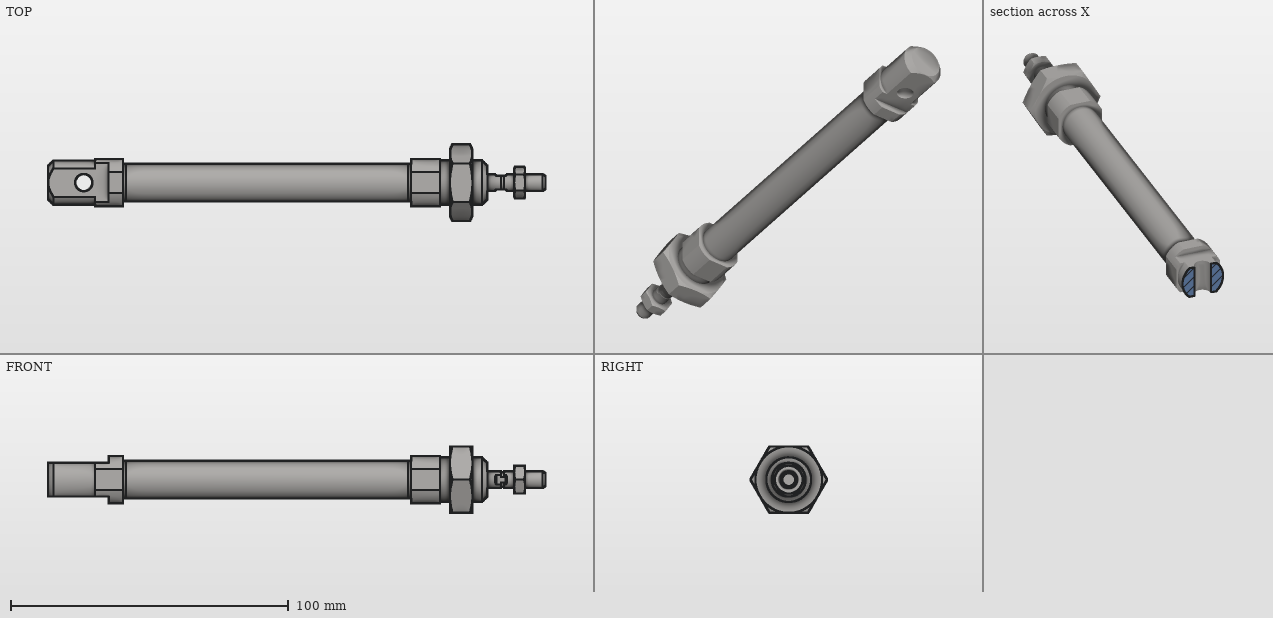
import cadquery as cq
import math


rear_cap_start = 17.0
lug_flat_end = 21.8
rear_cap_end = 27.0
collar_length = 1.0
front_cap_start = 130.7
front_cap_end = 141.0
nose_nut_start = 144.6
nose_end = 158.0
rod_nut_start = 167.7
rod_end = 179.0

lug_diameter = 16.0
lug_thickness = 12.2
lug_chamfer = 2.0
pivot_position = 12.9
pivot_diameter = 6.0
cap_width = 17.0
cap_corner_diameter = 18.6
barrel_diameter = 13.6
nose_diameter = 16.1
nose_chamfer = 2.0

nut_sides = 6
nose_nut_width = 24.0
nose_nut_thickness = 8.0
rod_nut_width = 10.0
rod_nut_thickness = 4.0
nut_chamfer_angle = 25

rod_diameter = 6.0
rod_tip_diameter = 4.7
rod_tip_length = 1.0
groove_start = 162.9
groove_width = 1.3
groove_diameter = 5.4
rod_flat_width = 5.0
rod_flat_start = 161.3
rod_flat_length = 3.4


def cylinder(diameter, start, end):
    """Round bar on the X axis between two stations."""
    return cq.Workplane("YZ", origin=(start, 0, 0)).circle(diameter / 2).extrude(end - start)


def cap_block(start, end):
    """Square cap body with its corners turned round."""
    square = cq.Workplane("YZ", origin=(start, 0, 0)).rect(cap_width, cap_width).extrude(end - start)
    return square.intersect(cylinder(cap_corner_diameter, start, end))


def make_rear_cap():
    """Square cap with a flattened, cross-drilled mounting lug."""
    lug = cylinder(lug_diameter, 0, rear_cap_start).faces("<X").chamfer(lug_chamfer)
    collar = cylinder(barrel_diameter, rear_cap_end, rear_cap_end + collar_length)
    cap = lug.union(cap_block(rear_cap_start, rear_cap_end)).union(collar)

    flat_depth = (cap_width - lug_thickness) / 2
    for side in (-1, 1):
        flat_center = side * (lug_thickness + flat_depth) / 2
        cap = cap.cut(
            cq.Workplane("XY", origin=(lug_flat_end / 2, 0, flat_center))
            .box(lug_flat_end, cap_corner_diameter, flat_depth)
        )

    pivot_hole = (
        cq.Workplane("XY", origin=(pivot_position, 0, 0))
        .circle(pivot_diameter / 2)
        .extrude(lug_thickness, both=True)
    )
    return cap.cut(pivot_hole)


def make_barrel():
    """Plain round barrel between the collars of the two caps."""
    return cylinder(barrel_diameter, rear_cap_end + collar_length, front_cap_start - collar_length)


def make_front_cap():
    """Square cap with a round mounting nose."""
    collar = cylinder(barrel_diameter, front_cap_start - collar_length, front_cap_start)
    nose = cylinder(nose_diameter, front_cap_end, nose_end).faces(">X").chamfer(nose_chamfer)
    return collar.union(cap_block(front_cap_start, front_cap_end)).union(nose)


def make_hex_nut(start, thickness, width, bore_diameter):
    """Hex nut on the X axis, corners toward +Y and -Y, both faces chamfered to the width across flats."""
    corner_diameter = width / math.cos(math.pi / nut_sides)
    chamfer_radial = (corner_diameter - width) / 2
    chamfer_axial = chamfer_radial * math.tan(math.radians(nut_chamfer_angle))
    hexagon = cq.Workplane("YZ", origin=(start, 0, 0)).polygon(nut_sides, corner_diameter).extrude(thickness)
    end = start + thickness
    chamfered_blank = (
        cq.Workplane("XY")
        .moveTo(start, 0)
        .lineTo(start, width / 2)
        .lineTo(start + chamfer_axial, corner_diameter / 2)
        .lineTo(end - chamfer_axial, corner_diameter / 2)
        .lineTo(end, width / 2)
        .lineTo(end, 0)
        .close()
        .revolve(360, (0, 0, 0), (1, 0, 0))
    )
    return hexagon.intersect(chamfered_blank).cut(cylinder(bore_diameter, start, end))


def make_rod():
    """Piston rod with a tapered tip, a ring groove and two wrench flats with sloping ends."""
    tip_start = rod_end - rod_tip_length
    groove_end = groove_start + groove_width
    rod = (
        cq.Workplane("XY")
        .moveTo(nose_end, 0)
        .lineTo(nose_end, rod_diameter / 2)
        .lineTo(groove_start, rod_diameter / 2)
        .lineTo(groove_start, groove_diameter / 2)
        .lineTo(groove_end, groove_diameter / 2)
        .lineTo(groove_end, rod_diameter / 2)
        .lineTo(tip_start, rod_diameter / 2)
        .lineTo(rod_end, rod_tip_diameter / 2)
        .lineTo(rod_end, 0)
        .close()
        .revolve(360, (0, 0, 0), (1, 0, 0))
    )

    flat_depth = (rod_diameter - rod_flat_width) / 2
    flat_end = rod_flat_start + rod_flat_length
    for side in (-1, 1):
        flat_cut = (
            cq.Workplane("XY")
            .moveTo(rod_flat_start, side * rod_flat_width / 2)
            .lineTo(flat_end, side * rod_flat_width / 2)
            .lineTo(flat_end + flat_depth, side * rod_diameter / 2)
            .lineTo(rod_flat_start - flat_depth, side * rod_diameter / 2)
            .close()
            .extrude(rod_diameter, both=True)
        )
        rod = rod.cut(flat_cut)
    return rod


rear_cap = make_rear_cap()
barrel = make_barrel()
front_cap = make_front_cap()
nose_nut = make_hex_nut(nose_nut_start, nose_nut_thickness, nose_nut_width, nose_diameter)
rod = make_rod()
rod_nut = make_hex_nut(rod_nut_start, rod_nut_thickness, rod_nut_width, rod_diameter)

result = cq.Compound.makeCompound([
    rear_cap.val(),
    barrel.val(),
    front_cap.val(),
    nose_nut.val(),
    rod.val(),
    rod_nut.val(),
])